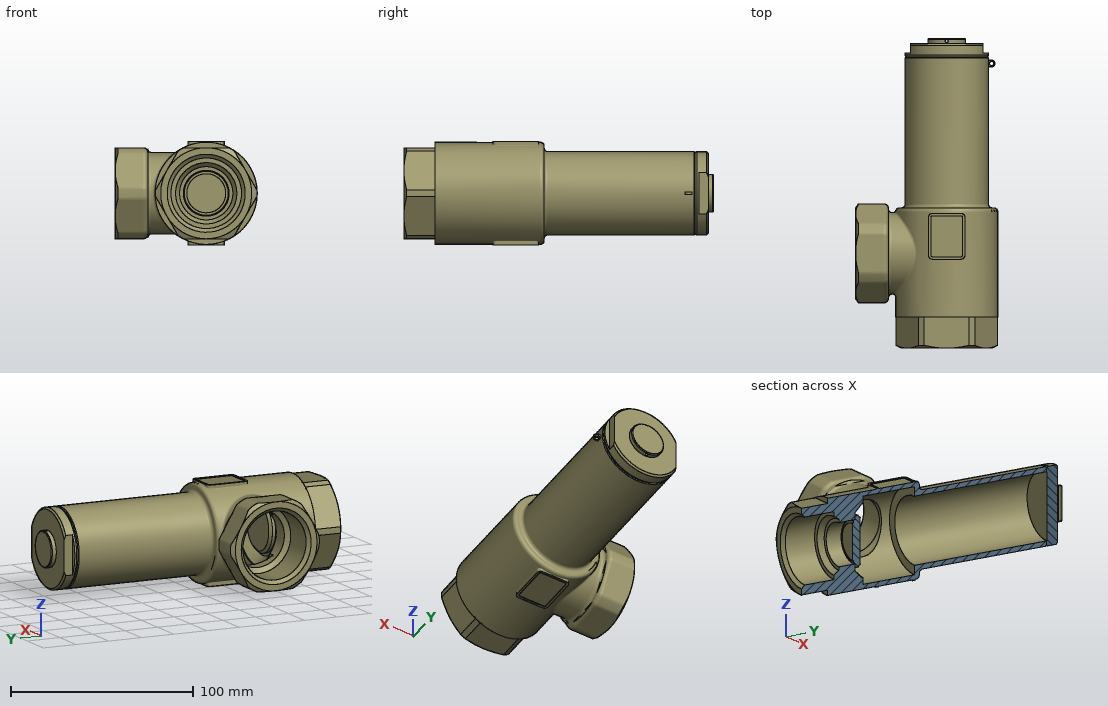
import cadquery as cq
import math

inlet_end = -52.0
outlet_end = -50.0
shoulder_y = 25.0
tube_top = 107.8

body_radius = 28.0
tube_radius = 23.0
shoulder_round = 2.0
tube_root_round = 2.0
tube_top_chamfer = 0.5

hex_across_flats = 50.0
hex_face_radius = 25.0
hex_face_chamfer = 1.5
inlet_hex_radius = 27.9
inlet_hex_length = 17.0
outlet_hex_radius = 27.2
outlet_hex_length = 18.0
outlet_hex_edge_round = 4.0
outlet_hex_back_round = 2.5

neck_radius = 22.5
neck_round = 1.9
neck_root_round = 1.4

socket_radius = 19.4
socket_chamfer = 2.0
socket_depth = 21.0
outlet_bore_radius = 16.3
outlet_cone_length = 1.7

throat_radius = 16.8
throat_end_radius = 14.6
throat_length = 3.2
seat_radius = 12.5
seat_top = -17.0

chamber_radius = 25.2
chamber_bottom = -11.7
chamber_top = 21.6
chamber_step = 0.5
funnel_radius = 21.5
spring_bore_radius = 19.7

pads_height = 57.0
pad_half_width = 10.0
pad_bottom = -3.2
pad_top = 22.0
pad_corner = 2.2
pad_rim = 1.4
pad_recess = 0.3
pad_foot_round = 0.3
edge_margin = 0.03

lug_x = 24.6
lug_y = 104.2
lug_radius = 1.9
lug_hole_radius = 1.2
lug_thickness = 1.5

cap_top = 115.1
cap_flats_start = 110.0
cap_across_flats = 40.0
cap_top_chamfer = 1.0
cap_groove_depth = 0.5
cap_groove_height = 1.0

knob_top = inlet_end + 170
knob_radius = 10.4
knob_chamfer = 0.5
knob_hole_diameter = 1.5

disc_top = -13.6
disc_head_radius = 15.0
disc_head_chamfer = 1.5
disc_bottom = -18.4
disc_plug_chamfer = 0.5
disc_face_radius = 10.7
disc_face_height = 0.5


def turned(points):
    """Solid of revolution about the Y axis from (radius, y) points."""
    return cq.Workplane("XY").polyline(points).close().revolve(360, (0, 0), (0, 1))


def turned_about_x(points):
    """Solid of revolution about the X axis from (x, radius) points."""
    return cq.Workplane("XY").polyline(points).close().revolve(360, (0, 0), (1, 0))


def barrel():
    """Stepped barrel and tube, rounded at the shoulder."""
    profile = (
        cq.Workplane("XY")
        .moveTo(0, inlet_end + inlet_hex_length)
        .lineTo(body_radius, inlet_end + inlet_hex_length)
        .lineTo(body_radius, shoulder_y - shoulder_round)
        .radiusArc((body_radius - shoulder_round, shoulder_y), -shoulder_round)
        .lineTo(tube_radius + tube_root_round, shoulder_y)
        .radiusArc((tube_radius, shoulder_y + tube_root_round), tube_root_round)
        .lineTo(tube_radius, tube_top - tube_top_chamfer)
        .lineTo(tube_radius - tube_top_chamfer, tube_top)
        .lineTo(0, tube_top)
        .close()
    )
    return profile.revolve(360, (0, 0), (0, 1))


def hexagon(plane, length):
    """Hexagonal prism with two flats facing +Z and -Z, starting on the given plane."""
    across_corners = hex_across_flats / math.cos(math.radians(30))
    return cq.Workplane(plane).polygon(6, across_corners).extrude(length)


def inlet_hex():
    """Hexagon around the inlet, with turned corners and a chamfered face."""
    back = inlet_end + inlet_hex_length
    prism = hexagon(cq.Plane((0, inlet_end, 0), (1, 0, 0), (0, 1, 0)), inlet_hex_length)
    envelope = turned([
        (0, inlet_end),
        (hex_face_radius, inlet_end),
        (inlet_hex_radius, inlet_end + hex_face_chamfer),
        (inlet_hex_radius, back),
        (0, back),
    ])
    return prism.intersect(envelope)


def outlet_hex():
    """Hexagon around the outlet, with softened corners, a rounded back and a chamfered face."""
    back = outlet_end + outlet_hex_length
    prism = hexagon(cq.Plane((outlet_end, 0, 0), (0, 1, 0), (1, 0, 0)), outlet_hex_length)
    rod = cq.Workplane("YZ", origin=(outlet_end, 0, 0)).circle(outlet_hex_radius).extrude(outlet_hex_length)
    softened = prism.intersect(rod).edges("|X").fillet(outlet_hex_edge_round)
    softened = softened.faces(">X").edges().fillet(outlet_hex_back_round)
    envelope = turned_about_x([
        (outlet_end, 0),
        (outlet_end, hex_face_radius),
        (outlet_end + hex_face_chamfer, outlet_hex_radius),
        (back, outlet_hex_radius),
        (back, 0),
    ])
    return softened.intersect(envelope)


def outlet_neck():
    """Round neck between the outlet hexagon and the barrel, flared where it leaves the hexagon."""
    hex_back = outlet_end + outlet_hex_length
    profile = (
        cq.Workplane("XY")
        .moveTo(hex_back, 0)
        .lineTo(hex_back, neck_radius + neck_round)
        .radiusArc((hex_back + neck_round, neck_radius), -neck_round)
        .lineTo(0, neck_radius)
        .lineTo(0, 0)
        .close()
    )
    return profile.revolve(360, (0, 0), (1, 0))


def pads():
    """Rounded label pads on the +Z and -Z sides, each with a shallow recess inside a rim."""
    width = 2 * pad_half_width
    length = pad_top - pad_bottom
    centre_y = (pad_top + pad_bottom) / 2
    block = (
        cq.Workplane("XY")
        .box(width, length, pads_height)
        .edges("|Z")
        .fillet(pad_corner)
    )
    field = (
        cq.Workplane("XY")
        .box(width - 2 * pad_rim, length - 2 * pad_rim, pads_height)
        .edges("|Z")
        .fillet(pad_corner - pad_rim)
    )
    floor = cq.Workplane("XY").box(width, length, pads_height - 2 * pad_recess)
    return block.cut(field.cut(floor)).translate((0, centre_y, 0))


def sealing_lug():
    """Round-ended lug on the tube for a sealing wire."""
    lug_base = tube_radius - lug_radius
    disc = cq.Workplane("XY").center(lug_x, lug_y).circle(lug_radius).extrude(lug_thickness / 2, both=True)
    root = cq.Workplane("XY").box(lug_x - lug_base, 2 * lug_radius, lug_thickness)
    root = root.translate(((lug_x + lug_base) / 2, lug_y, 0))
    hole = cq.Workplane("XY").center(lug_x, lug_y).circle(lug_hole_radius).extrude(lug_thickness, both=True)
    return disc.union(root).cut(hole)


def main_bore():
    """Inlet socket, throat, seat, outlet chamber and spring bore along the main axis."""
    socket_end = inlet_end + socket_depth
    funnel_top = chamber_bottom - chamber_step
    funnel_bottom_radius = funnel_radius - (funnel_top - seat_top)
    return turned([
        (0, inlet_end),
        (socket_radius + socket_chamfer, inlet_end),
        (socket_radius, inlet_end + socket_chamfer),
        (socket_radius, socket_end),
        (throat_radius, socket_end),
        (throat_end_radius, socket_end + throat_length),
        (seat_radius, socket_end + throat_length),
        (seat_radius, seat_top),
        (funnel_bottom_radius, seat_top),
        (funnel_radius, funnel_top),
        (funnel_radius, chamber_bottom),
        (chamber_radius, chamber_bottom),
        (chamber_radius, chamber_top),
        (spring_bore_radius, chamber_top),
        (spring_bore_radius, tube_top),
        (0, tube_top),
    ])


def outlet_bore():
    """Outlet socket with a conical end, opening into the outlet chamber."""
    socket_end = outlet_end + socket_depth
    return turned_about_x([
        (outlet_end, 0),
        (outlet_end, socket_radius + socket_chamfer),
        (outlet_end + socket_chamfer, socket_radius),
        (socket_end, socket_radius),
        (socket_end + outlet_cone_length, outlet_bore_radius),
        (0, outlet_bore_radius),
        (0, 0),
    ])


def make_housing():
    """Valve housing: barrel, tube, both ports, pads and sealing lug in one solid."""
    shell = barrel().union(outlet_neck())
    shell = shell.edges("%BSPLINE").fillet(neck_root_round)
    shell = shell.union(pads())
    for side in (1, -1):
        foot = cq.selectors.BoxSelector(
            (-pad_half_width - edge_margin, pad_bottom - edge_margin, 0),
            (pad_half_width + edge_margin, pad_top + edge_margin, side * (body_radius + edge_margin)),
            boundingbox=True,
        )
        shell = shell.edges(foot).fillet(pad_foot_round)
    for part in (inlet_hex(), outlet_hex(), sealing_lug()):
        shell = shell.union(part)
    return shell.cut(main_bore()).cut(outlet_bore())


def make_cap():
    """Cap closing the tube, with two wrench flats facing +X and -X."""
    cap = turned([
        (0, tube_top),
        (tube_radius - cap_groove_depth, tube_top),
        (tube_radius, tube_top + cap_groove_height),
        (tube_radius, cap_top - cap_top_chamfer),
        (tube_radius - cap_top_chamfer, cap_top),
        (0, cap_top),
    ])
    flats_height = cap_top - cap_flats_start
    wide = cq.Workplane("XY").box(2 * tube_radius, flats_height, 2 * tube_radius)
    kept = cq.Workplane("XY").box(cap_across_flats, flats_height, 2 * tube_radius)
    flats = wide.cut(kept).translate((0, (cap_top + cap_flats_start) / 2, 0))
    return cap.cut(flats)


def make_knob():
    """Adjusting knob on the cap, cross-drilled along Z for a sealing wire."""
    knob = turned([
        (0, cap_top),
        (knob_radius, cap_top),
        (knob_radius, knob_top - knob_chamfer),
        (knob_radius - knob_chamfer, knob_top),
        (0, knob_top),
    ])
    hole = (
        cq.Workplane("XY")
        .center(0, (cap_top + knob_top) / 2)
        .circle(knob_hole_diameter / 2)
        .extrude(knob_radius, both=True)
    )
    return knob.cut(hole)


def make_disc():
    """Valve disc: a chamfered head resting on the seat and a plug filling it, with a raised face."""
    return turned([
        (0, disc_bottom - disc_face_height),
        (disc_face_radius, disc_bottom - disc_face_height),
        (disc_face_radius, disc_bottom),
        (seat_radius - disc_plug_chamfer, disc_bottom),
        (seat_radius, disc_bottom + disc_plug_chamfer),
        (seat_radius, seat_top),
        (disc_head_radius, seat_top),
        (disc_head_radius, disc_top - disc_head_chamfer),
        (disc_head_radius - disc_head_chamfer, disc_top),
        (0, disc_top),
    ])


housing = make_housing()
cap = make_cap()
knob = make_knob()
disc = make_disc()

result = cq.Compound.makeCompound([housing.val(), cap.val(), knob.val(), disc.val()])